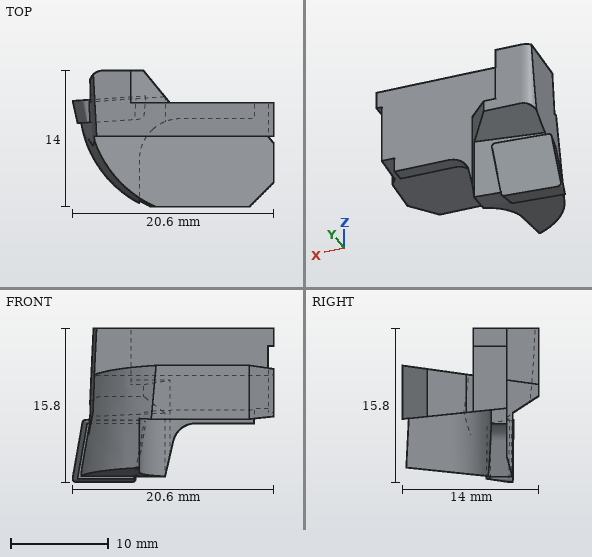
import cadquery as cq
import math

LENGTH = 20.65
DEPTH = 14.0
HEIGHT = 15.8
MARGIN = 4.13

RAIL_FRONT_Y = 7.25
RAIL_BACK_Y = 10.7
NOTCH_X = 20.05
LIP_BOTTOM_Z = 13.95

FLANGE_TOP_Z = 11.98
FLANGE_FOOT_Z = 10.97
FLANGE_BOTTOM_Z = 6.46
UNDERSIDE_SLOPE = 0.105
FRONT_CHAMFER = 2.52
BACK_CHAMFER_Y = 0.72

HEAD_TOP_X = 5.97
HEAD_BACK_X = 7.27
HEAD_END_X = 9.97
HEAD_CORNER_X = 1.71
HEAD_CORNER_RADIUS = 2.8 / 2
HEAD_BOTTOM_Z = 8.84
RAMP_FOOT_Y = 11.23
RAMP_FOOT_Z = 7.05

LEFT_TOP_X = 2.48
LEFT_TAPER = 0.054
UPPER_LEAN = 0.05
LOWER_LEAN = math.tan(math.radians(10))
LEAN_CHANGE_Z = 7.19

WALL_LEAN = 0.09
WALL_FRONT_X = 8.57
WALL_MIDDLE = (4.52, 2.97)
WALL_REAR = (1.95, 8.36)
WALL_END_X = 1.03

CORE_FRONT_Y = 9.09
CORE_RIGHT_X = 18.63
CORE_BOTTOM_Z = 6.0
NOSE_STEP_X = 6.84
NOSE_BLEND_RADIUS = 4.2
NOSE_TIP_X = 9.5
NOSE_TIP_Z = 0.58
NOSE_FRONT_Z = 1.53
NOSE_SIDE_ANGLE = 76.9
NOSE_FILLET = 2.27

INSERT_X = -0.07
INSERT_SIDE = 6.5
INSERT_ANGLE = 80.0
INSERT_THICKNESS = 2.33
INSERT_CLEARANCE = 8.5
INSERT_CORNER_RADIUS = 0.37
RAKE_Y = 10.88
RAKE_ANGLE = 4.0
SEAT_DROP = 0.2


def plan_prism(points):
    """Full height prism with a polygonal plan outline."""
    return cq.Workplane("XY").polyline(points).close().extrude(HEIGHT)


def side_prism(points, start_x, end_x):
    """Prism along X with an outline of (y, z) points."""
    return cq.Workplane("YZ", origin=(start_x, 0, 0)).polyline(points).close().extrude(end_x - start_x)


def flange_top_z(y):
    """Height of the flange's top plane, which also carries the shelf behind the rail."""
    return FLANGE_TOP_Z + (FLANGE_FOOT_Z - FLANGE_TOP_Z) * y / RAIL_FRONT_Y


def underside_z(y):
    return FLANGE_BOTTOM_Z + UNDERSIDE_SLOPE * y


def upper_left_x(y, z):
    return LEFT_TOP_X - LEFT_TAPER * (y - RAIL_FRONT_Y) + UPPER_LEAN * (z - HEIGHT)


def make_upper():
    """Flange, rail and head, above the sloping underside."""
    blank = plan_prism([
        (0, 0),
        (LENGTH - FRONT_CHAMFER, 0),
        (LENGTH, FRONT_CHAMFER),
        (LENGTH, RAIL_FRONT_Y - BACK_CHAMFER_Y),
        (NOTCH_X, RAIL_FRONT_Y),
        (NOTCH_X, RAIL_BACK_Y),
        (HEAD_END_X, RAIL_BACK_Y),
        (HEAD_BACK_X, DEPTH),
        (0, DEPTH),
    ])
    profile = side_prism([
        (0, underside_z(0)),
        (0, flange_top_z(0)),
        (RAIL_FRONT_Y, FLANGE_FOOT_Z),
        (RAIL_FRONT_Y, HEIGHT),
        (DEPTH, HEIGHT),
        (DEPTH, underside_z(DEPTH)),
    ], 0, LENGTH)
    shelf_cut = side_prism([
        (RAIL_BACK_Y, flange_top_z(RAIL_BACK_Y)),
        (DEPTH, flange_top_z(DEPTH)),
        (DEPTH, HEIGHT),
        (RAIL_BACK_Y, HEIGHT),
    ], HEAD_TOP_X, LENGTH)
    lip = cq.Workplane("XY").box(
        LENGTH - NOTCH_X, RAIL_BACK_Y - RAIL_FRONT_Y, HEIGHT - LIP_BOTTOM_Z, centered=False
    ).translate((NOTCH_X, RAIL_FRONT_Y, LIP_BOTTOM_Z))
    return blank.intersect(profile).cut(shelf_cut).union(lip)


def make_lower():
    """Core under the rail, with the nose that carries the insert."""
    blend_offset = NOSE_BLEND_RADIUS * (1 - math.sqrt(0.5))
    plan = (
        cq.Workplane("XY")
        .moveTo(0, 0)
        .lineTo(NOSE_STEP_X, 0)
        .lineTo(NOSE_STEP_X, CORE_FRONT_Y - NOSE_BLEND_RADIUS)
        .threePointArc(
            (NOSE_STEP_X + blend_offset, CORE_FRONT_Y - blend_offset),
            (NOSE_STEP_X + NOSE_BLEND_RADIUS, CORE_FRONT_Y),
        )
        .lineTo(CORE_RIGHT_X, CORE_FRONT_Y)
        .lineTo(CORE_RIGHT_X, RAIL_BACK_Y)
        .lineTo(HEAD_END_X, RAIL_BACK_Y)
        .lineTo(HEAD_BACK_X, DEPTH)
        .lineTo(0, DEPTH)
        .close()
        .extrude(HEIGHT)
    )
    nose_root_x = NOSE_TIP_X + (CORE_BOTTOM_Z - NOSE_TIP_Z) / math.tan(math.radians(NOSE_SIDE_ANGLE))
    front_outline = (
        cq.Workplane("XZ")
        .polyline([
            (0, NOSE_TIP_Z),
            (NOSE_TIP_X, NOSE_TIP_Z),
            (nose_root_x, CORE_BOTTOM_Z),
            (CORE_RIGHT_X, CORE_BOTTOM_Z),
            (CORE_RIGHT_X, HEIGHT),
            (0, HEIGHT),
        ])
        .close()
        .extrude(-DEPTH)
        .edges(cq.selectors.NearestToPointSelector((nose_root_x, DEPTH / 2, CORE_BOTTOM_Z)))
        .fillet(NOSE_FILLET)
    )
    side_outline = side_prism([
        (0, NOSE_FRONT_Z),
        (CORE_FRONT_Y, NOSE_TIP_Z),
        (DEPTH, NOSE_TIP_Z),
        (DEPTH, underside_z(DEPTH)),
        (0, underside_z(0)),
    ], 0, LENGTH)
    return plan.intersect(front_outline).intersect(side_outline)


def make_wall_limit():
    """Everything inside the leaning, rounded front left wall, which stops at the rail."""
    def shift(z):
        return WALL_LEAN * (z - FLANGE_TOP_Z)

    outline = (
        cq.Workplane("XY")
        .moveTo(WALL_FRONT_X, 0)
        .threePointArc(WALL_MIDDLE, WALL_REAR)
        .lineTo(WALL_END_X, DEPTH)
        .lineTo(LENGTH + MARGIN, DEPTH)
        .lineTo(LENGTH + MARGIN, 0)
        .close()
        .translate((shift(0), 0, 0))
    )
    sweep = cq.Vector(WALL_LEAN * HEIGHT, 0, HEIGHT)
    wall = cq.Workplane(cq.Solid.extrudeLinear(outline.val(), [], sweep))
    above_flange = cq.Workplane("XY").box(
        LENGTH, DEPTH - RAIL_FRONT_Y, HEIGHT - FLANGE_FOOT_Z, centered=False
    ).translate((0, RAIL_FRONT_Y, FLANGE_FOOT_Z))
    return wall.union(above_flange)


def make_left_limit():
    """Everything to the right of the two leaning left end faces."""
    def section(y):
        bend_x = upper_left_x(y, LEAN_CHANGE_Z)
        points = [
            (bend_x - LOWER_LEAN * LEAN_CHANGE_Z, 0),
            (bend_x, LEAN_CHANGE_Z),
            (upper_left_x(y, HEIGHT), HEIGHT),
            (LENGTH + MARGIN, HEIGHT),
            (LENGTH + MARGIN, 0),
        ]
        return cq.Wire.makePolygon([cq.Vector(x, y, z) for x, z in points], close=True)

    return cq.Workplane(cq.Solid.makeLoft([section(0), section(DEPTH)], True))


def make_corner_limit():
    """Rounds the vertical back left corner of the head."""
    return (
        cq.Workplane("XY")
        .rect(LENGTH + MARGIN - HEAD_CORNER_X, DEPTH + MARGIN, centered=False)
        .extrude(HEIGHT)
        .translate((HEAD_CORNER_X, -MARGIN, 0))
        .edges("|Z and <X and >Y")
        .fillet(HEAD_CORNER_RADIUS)
        .union(cq.Workplane("XY").box(LENGTH, RAMP_FOOT_Y, HEIGHT, centered=False))
    )


def make_flute():
    """Clearance below the head: a ramp and the face level with the insert seat."""
    ramp_slope = (HEAD_BOTTOM_Z - RAMP_FOOT_Z) / (DEPTH - RAMP_FOOT_Y)
    far_y = DEPTH + MARGIN
    near_y = RAMP_FOOT_Y - MARGIN
    under_ramp = side_prism([
        (near_y, -MARGIN),
        (far_y, -MARGIN),
        (far_y, HEAD_BOTTOM_Z + ramp_slope * MARGIN),
        (near_y, RAMP_FOOT_Z - ramp_slope * MARGIN),
    ], -MARGIN, LENGTH)
    behind_seat = (
        cq.Workplane("XY")
        .box(2 * LENGTH, DEPTH, 2 * HEIGHT, centered=(True, False, True))
        .rotate((0, 0, 0), (0, 0, 1), RAKE_ANGLE)
        .translate((0, RAKE_Y - SEAT_DROP, 0))
    )
    left_of_rail_joint = cq.Workplane("XY").box(HEAD_END_X, far_y, HEIGHT, centered=False)
    return under_ramp.intersect(behind_seat).intersect(left_of_rail_joint)


def make_insert():
    """Rhombic insert, narrowing from its rake face towards the front."""
    lean = math.radians(INSERT_ANGLE)
    top_x = INSERT_SIDE * math.cos(lean)
    top_z = INSERT_SIDE * math.sin(lean)
    outline = (
        cq.Sketch()
        .polygon([(0, 0), (INSERT_SIDE, 0), (INSERT_SIDE + top_x, top_z), (top_x, top_z), (0, 0)])
        .vertices()
        .fillet(INSERT_CORNER_RADIUS)
    )
    return (
        cq.Workplane("XZ")
        .placeSketch(outline)
        .extrude(INSERT_THICKNESS, taper=INSERT_CLEARANCE)
        .rotate((0, 0, 0), (0, 0, 1), RAKE_ANGLE)
        .translate((INSERT_X, RAKE_Y, 0))
    )


insert = make_insert()

holder = make_upper().union(make_lower())
holder = holder.intersect(make_wall_limit())
holder = holder.intersect(make_left_limit())
holder = holder.intersect(make_corner_limit())
holder = holder.cut(make_flute()).cut(insert)

result = cq.Compound.makeCompound([holder.val(), insert.val()])